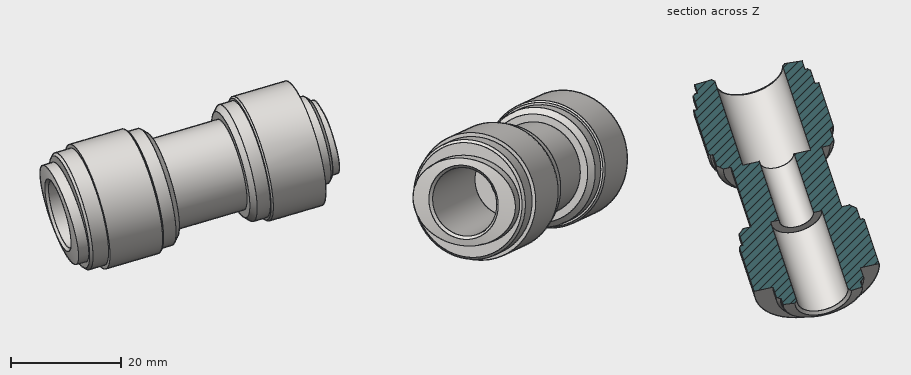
import cadquery as cq

HALF_LENGTH = 26.0
TUBE_RADIUS = 8.6
BODY_RADIUS = 11.1
COLLAR_RADIUS = 11.8
COLLAR_LENGTH = 10.2
COLLAR_CHAMFER = 0.3
SHOULDER_CHAMFER = 1.05

LARGE_SHOULDER = 6.2
LARGE_COLLAR_OUTER = 20.3
LARGE_BODY_END = 23.75
LARGE_BODY_CHAMFER = 0.45
SMALL_SHOULDER = 7.45
SMALL_COLLAR_OUTER = 21.55
SMALL_BOSS_RADIUS = 8.25
SMALL_BOSS_END = 24.4
SMALL_BOSS_CHAMFER = 0.6

LARGE_RING = (10.15, 8.1)
SMALL_RING = (7.5, 6.1)
RING_FACE_RISE = 0.25
RING_DRAFT = 0.15

THROUGH_RADIUS = 3.2
LARGE_SOCKET_RADIUS = 6.35
SMALL_SOCKET_RADIUS = 4.8
SOCKET_CHAMFER = 0.5


LARGE_END = -1
SMALL_END = 1


def end_plane(distance, direction):
    """Plane across the axis at a distance from the origin, facing outward."""
    return cq.Workplane(
        cq.Plane(origin=(0, direction * distance, 0), xDir=(1, 0, 0), normal=(0, direction, 0))
    )


def cylinder(start, end, radius, direction):
    return end_plane(start, direction).circle(radius).extrude(end - start)


def end_face(direction):
    """Selector of the face furthest along Y in the given direction."""
    return ">Y" if direction > 0 else "<Y"


def body_drum(shoulder, end, direction):
    drum = cylinder(shoulder, end, BODY_RADIUS, direction)
    return drum.faces(end_face(-direction)).chamfer(SHOULDER_CHAMFER)


def collar(outer, direction):
    ring = cylinder(outer - COLLAR_LENGTH - COLLAR_CHAMFER, outer, COLLAR_RADIUS, direction)
    return ring.faces(end_face(-direction)).chamfer(COLLAR_CHAMFER)


def release_ring(start, half_sizes, mouth_radius, direction):
    """Oval ring with a slightly drafted side and an end face rising gently to a round mouth."""
    half_width, half_height = half_sizes
    rim = HALF_LENGTH - RING_FACE_RISE
    side = (
        end_plane(start, direction)
        .ellipse(half_width, half_height + RING_DRAFT)
        .workplane(offset=rim - start)
        .ellipse(half_width, half_height)
        .loft(ruled=True)
    )
    face = (
        end_plane(rim, direction)
        .ellipse(half_width, half_height)
        .workplane(offset=RING_FACE_RISE)
        .circle(mouth_radius)
        .loft(ruled=True)
    )
    return side.union(face)


def socket(bottom, radius, direction):
    """Tube socket from the ring mouth down to the bottom station, with a chamfered mouth."""
    bore = cylinder(bottom, HALF_LENGTH, radius, direction)
    flare = cq.Solid.makeCone(
        radius + SOCKET_CHAMFER,
        radius,
        SOCKET_CHAMFER,
        cq.Vector(0, direction * HALF_LENGTH, 0),
        cq.Vector(0, -direction, 0),
    )
    return bore.union(cq.Workplane(flare))


result = cylinder(-LARGE_SHOULDER, SMALL_SHOULDER, TUBE_RADIUS, SMALL_END)

large_body = body_drum(LARGE_SHOULDER, LARGE_BODY_END, LARGE_END)
large_body = large_body.faces(end_face(LARGE_END)).chamfer(LARGE_BODY_CHAMFER)
small_body = body_drum(SMALL_SHOULDER, SMALL_COLLAR_OUTER, SMALL_END)
small_boss = cylinder(SMALL_COLLAR_OUTER, SMALL_BOSS_END, SMALL_BOSS_RADIUS, SMALL_END)
small_boss = small_boss.faces(end_face(SMALL_END)).chamfer(SMALL_BOSS_CHAMFER)

for piece in (
    large_body,
    collar(LARGE_COLLAR_OUTER, LARGE_END),
    release_ring(LARGE_BODY_END, LARGE_RING, LARGE_SOCKET_RADIUS + SOCKET_CHAMFER, LARGE_END),
    small_body,
    collar(SMALL_COLLAR_OUTER, SMALL_END),
    small_boss,
    release_ring(SMALL_BOSS_END, SMALL_RING, SMALL_SOCKET_RADIUS + SOCKET_CHAMFER, SMALL_END),
):
    result = result.union(piece)

result = result.cut(cylinder(-HALF_LENGTH, HALF_LENGTH, THROUGH_RADIUS, SMALL_END))
result = result.cut(socket(LARGE_SHOULDER, LARGE_SOCKET_RADIUS, LARGE_END))
result = result.cut(socket(SMALL_SHOULDER, SMALL_SOCKET_RADIUS, SMALL_END))